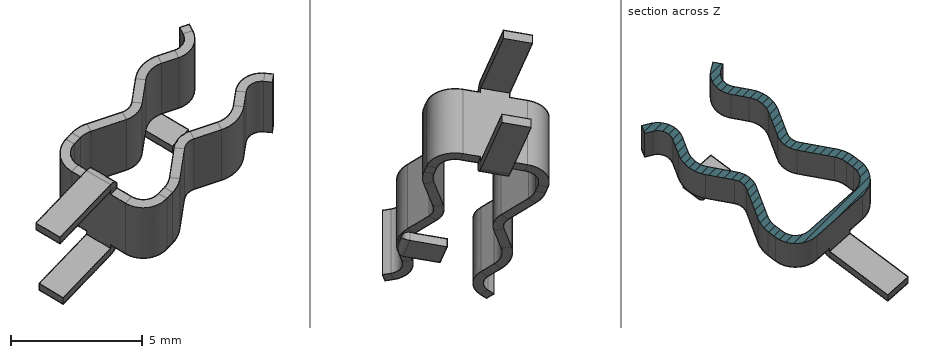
import cadquery as cq
import math


thickness = 0.4
strip_height = 3.1
outer_width = 4.8
clip_length = 8.4
strip_top = strip_height / 2

corner_radius = 0.925
wide_radius = 1.2
tight_radius = 0.8
arm_slant = 30
tip_turn = 90

base_half_run = outer_width / 2 - thickness / 2 - corner_radius
side_run = 0.375
lower_run = 1.46
middle_run = 1.14
upper_run = 0.71

pin_width = 1.15
neck_height = 0.2
top_pin_length = 3.2
bottom_pin_length = 3.0

tab_width = 1.02
tab_thickness = 0.39
tab_outer_x = -2.15
tab_inner_x = -0.43
tab_edge_radius = 0.25

sin_slant = math.sin(math.radians(arm_slant))
cos_slant = math.cos(math.radians(arm_slant))
bend_pair_rise = (wide_radius + tight_radius) * sin_slant
straight_start_y = thickness / 2 + corner_radius + side_run
waist_y = straight_start_y + bend_pair_rise + lower_run * cos_slant
bulge_y = waist_y + bend_pair_rise + middle_run * cos_slant
mouth_y = bulge_y + bend_pair_rise + upper_run * cos_slant

tip_heading = math.radians(tip_turn - arm_slant)
flare_rise = (tight_radius + thickness / 2) * math.sin(tip_heading)
tip_run = (clip_length - mouth_y - flare_rise) / math.cos(tip_heading)

arm_path = [
    (corner_radius, -90, side_run),
    (wide_radius, -arm_slant, lower_run),
    (tight_radius, 2 * arm_slant, middle_run),
    (wide_radius, -2 * arm_slant, upper_run),
    (tight_radius, tip_turn, tip_run),
]


def step(point, heading, distance):
    """Point reached from another by going a distance along a heading in degrees."""
    angle = math.radians(heading)
    return (point[0] + distance * math.cos(angle), point[1] + distance * math.sin(angle))


def along_bend(point, heading, radius, turn):
    """Point on the mid-sheet arc after a turn; a positive turn is to the left."""
    chord = 2 * radius * math.sin(math.radians(abs(turn)) / 2)
    return step(point, heading + turn / 2, chord)


def sheet_faces(point, heading):
    """Points on the left and right faces of the sheet beside a mid-sheet point."""
    left = step(point, heading + 90, thickness / 2)
    right = step(point, heading - 90, thickness / 2)
    return left, right


def make_run(point, heading, length):
    """Flat length of strip."""
    start_left, start_right = sheet_faces(point, heading)
    end_left, end_right = sheet_faces(step(point, heading, length), heading)
    profile = cq.Workplane("XY", origin=(0, 0, -strip_top))
    return profile.polyline([start_left, end_left, end_right, start_right]).close().extrude(strip_height)


def make_bend(point, heading, radius, turn):
    """Curved length of strip."""
    middle = along_bend(point, heading, radius, turn / 2)
    end = along_bend(point, heading, radius, turn)
    start_left, start_right = sheet_faces(point, heading)
    middle_left, middle_right = sheet_faces(middle, heading + turn / 2)
    end_left, end_right = sheet_faces(end, heading + turn)
    return (
        cq.Workplane("XY", origin=(0, 0, -strip_top))
        .moveTo(*start_left)
        .threePointArc(middle_left, end_left)
        .lineTo(*end_right)
        .threePointArc(middle_right, start_right)
        .close()
        .extrude(strip_height)
    )


def make_left_arm():
    """Pieces of the -X arm, in order from the base corner to the tip."""
    point = (-base_half_run, thickness / 2)
    heading = 180
    pieces = []
    for radius, turn, run in arm_path:
        pieces.append(make_bend(point, heading, radius, turn))
        point = along_bend(point, heading, radius, turn)
        heading += turn
        pieces.append(make_run(point, heading, run))
        point = step(point, heading, run)
    return pieces


def make_base():
    """Flat base of the strip with the necks that carry the pins."""
    middle = (0, thickness / 2, 0)
    plate = cq.Workplane("XY").box(2 * base_half_run, thickness, strip_height)
    necks = cq.Workplane("XY").box(pin_width, thickness, strip_height + 2 * neck_height)
    return plate.union(necks).translate(middle)


def make_top_pin(length):
    """Pieces of the top pin: a quarter-round bend on the neck, then a straight pin toward -Y."""
    arc_offset = thickness * math.sqrt(0.5)
    bend = (
        cq.Workplane("YZ", origin=(-pin_width / 2, 0, strip_top + neck_height))
        .lineTo(thickness, 0)
        .threePointArc((arc_offset, arc_offset), (0, thickness))
        .close()
        .extrude(pin_width)
    )
    pin_center = (0, -length / 2, strip_top + neck_height + thickness / 2)
    pin = cq.Workplane("XY").box(pin_width, length, thickness).translate(pin_center)
    return [bend, pin]


def make_tab():
    """Stop tab with its -X upright edges and its -X bottom edge rounded."""
    tab_length = tab_inner_x - tab_outer_x
    center = ((tab_outer_x + tab_inner_x) / 2, bulge_y, -strip_top - tab_thickness / 2)
    block = cq.Workplane("XY").box(tab_length, tab_width, tab_thickness).translate(center)
    round_in_plan = block.edges("|Z and <X").fillet(tab_edge_radius)
    round_below = block.faces("<Z").edges("<X").fillet(tab_edge_radius)
    return round_in_plan.intersect(round_below)


left_arm = make_left_arm()
right_arm = [piece.mirror("YZ") for piece in left_arm]
top_pin = make_top_pin(top_pin_length)
bottom_pin = [piece.mirror("XY") for piece in make_top_pin(bottom_pin_length)]

result = make_base()
for piece in left_arm + right_arm + top_pin + bottom_pin + [make_tab()]:
    result = result.union(piece, clean=False)